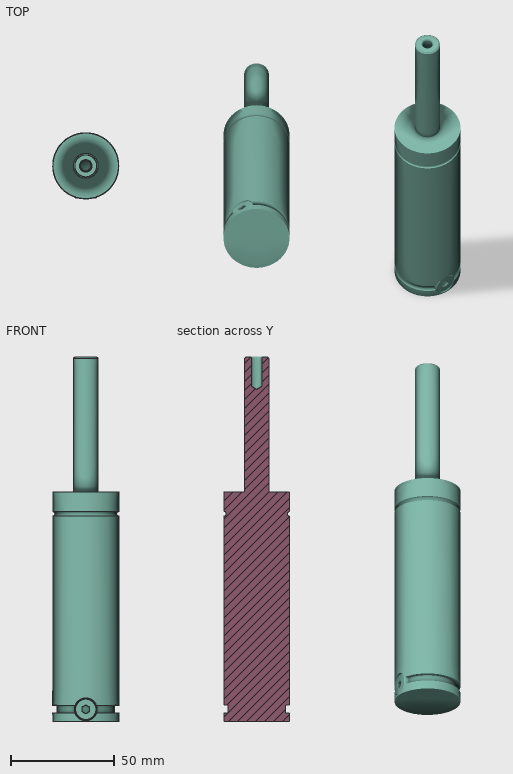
import cadquery as cq
import math

total_height = 177.0
body_diameter = 32.0
body_height = 111.5
rod_diameter = 12.0
rod_tip_diameter = 10.6

cap_height = 9.5
cap_groove_width = 2.1
cap_groove_depth = 1.0

foot_height = 4.2
foot_groove_width = 3.7
foot_groove_diameter = 28.0

rod_hole_diameter = 5.0
rod_hole_mouth_diameter = 6.0
rod_hole_depth = 14.2
drill_point_angle = 118.0

plug_diameter = 11.0
plug_face_diameter = 10.0
plug_height = 6.0
plug_inset = 0.5
plug_length = 5.3
socket_corner_diameter = 4.2
socket_depth = 2.1

body_radius = body_diameter / 2
plug_face_y = plug_inset - body_radius


def make_body():
    """Revolve the body and rod, with both grooves in the outline."""
    groove_radius = foot_groove_diameter / 2
    foot_groove_top = foot_height + foot_groove_width
    cap_groove_top = body_height - cap_height
    cap_groove_bottom = cap_groove_top - cap_groove_width
    cap_groove_radius = body_radius - cap_groove_depth
    rod_radius = rod_diameter / 2
    tip_radius = rod_tip_diameter / 2
    tip_chamfer = rod_radius - tip_radius
    return (
        cq.Workplane("XZ")
        .lineTo(body_radius, 0)
        .lineTo(body_radius, foot_height)
        .lineTo(groove_radius, foot_height)
        .lineTo(groove_radius, foot_groove_top)
        .lineTo(body_radius, foot_groove_top)
        .lineTo(body_radius, cap_groove_bottom)
        .threePointArc(
            (cap_groove_radius, cap_groove_bottom + cap_groove_width / 2),
            (body_radius, cap_groove_top),
        )
        .lineTo(body_radius, body_height)
        .lineTo(rod_radius, body_height)
        .lineTo(rod_radius, total_height - tip_chamfer)
        .lineTo(tip_radius, total_height)
        .lineTo(0, total_height)
        .close()
        .revolve(360, (0, 0, 0), (0, 1, 0))
    )


def make_rod_hole():
    """Drilled hole with a countersunk mouth and a conical bottom."""
    hole_radius = rod_hole_diameter / 2
    mouth_radius = rod_hole_mouth_diameter / 2
    mouth_depth = mouth_radius - hole_radius
    point_depth = hole_radius / math.tan(math.radians(drill_point_angle / 2))
    hole_bottom = total_height - rod_hole_depth
    return (
        cq.Workplane("XZ")
        .moveTo(0, total_height)
        .lineTo(mouth_radius, total_height)
        .lineTo(hole_radius, total_height - mouth_depth)
        .lineTo(hole_radius, hole_bottom)
        .lineTo(0, hole_bottom - point_depth)
        .close()
        .revolve(360, (0, 0, 0), (0, 1, 0))
    )


def plug_plane(y):
    """Workplane centred on the plug axis, facing -Y."""
    return cq.Workplane("XZ", origin=(0, y, plug_height))


def add_plug(body):
    """Seat a chamfered plug with a hexagon socket in a round side recess."""
    plug_radius = plug_diameter / 2
    recess = plug_plane(plug_face_y + plug_length).circle(plug_radius).extrude(body_radius)
    face_chamfer = (plug_diameter - plug_face_diameter) / 2
    plug = (
        plug_plane(plug_face_y)
        .circle(plug_radius)
        .extrude(-plug_length)
        .faces("<Y")
        .chamfer(face_chamfer)
    )
    socket = (
        plug_plane(plug_face_y)
        .transformed(rotate=(0, 0, 90))
        .polygon(6, socket_corner_diameter)
        .extrude(-socket_depth)
    )
    return body.cut(recess).union(plug).cut(socket)


result = add_plug(make_body().cut(make_rod_hole()))